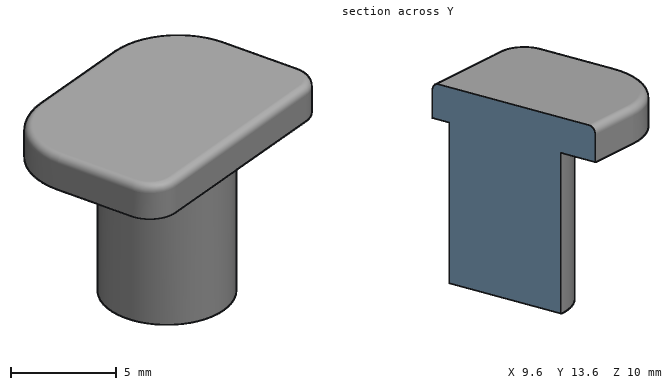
import cadquery as cq

head_width = 9.6
head_length = 13.6
head_thickness = 1.82
large_corner_radius = 3.82
small_corner_radius = 1.5
top_edge_radius = 0.4

total_height = 10.0
stem_diameter = 6.6
stem_offset = 0.5
stem_length = total_height - head_thickness


def make_head():
    """Plate with its underside at Z = 0, rounded corners and a rounded top rim."""
    plate = cq.Workplane("XY").box(
        head_width, head_length, head_thickness, centered=(True, True, False)
    )
    plate = plate.edges("|Z and <X").fillet(large_corner_radius)
    plate = plate.edges("|Z and >X").fillet(small_corner_radius)
    return plate.faces(">Z").edges().fillet(top_edge_radius)


def make_stem():
    """Solid cylinder hanging down from the underside of the head."""
    return (
        cq.Workplane("XY")
        .center(stem_offset, 0)
        .circle(stem_diameter / 2)
        .extrude(-stem_length)
    )


result = make_head().union(make_stem())